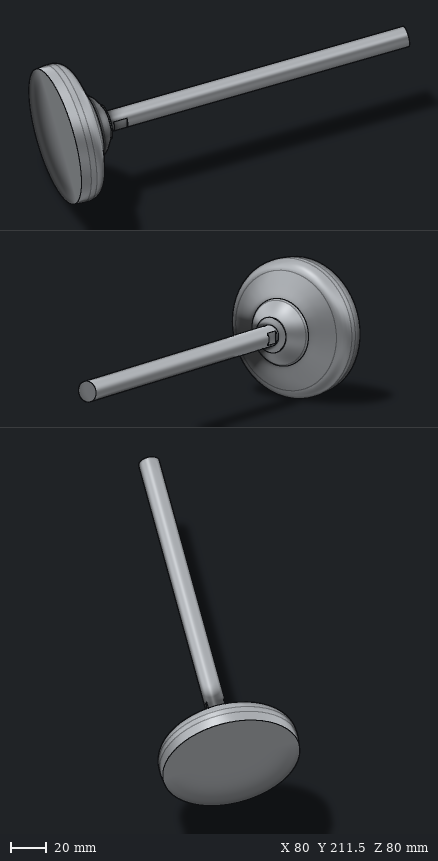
import cadquery as cq

overall_length = 211.5

base_radius = 40.0
bottom_radius = 39.3
draft_top = 5.7
rim_top = 9.0
shoulder_radius = 34.3
shoulder_height = 16.0
shoulder_mid_radius = 38.3
shoulder_mid_height = 13.5
dome_radius = 19.2
dome_height = 21.8
dome_band_radius = 18.5
dome_band_height = 23.0
dome_mid_radius = 14.5
dome_mid_height = 27.0
seat_radius = 9.5
seat_height = 30.0

rod_diameter = 12.0
rod_radius = rod_diameter / 2
collar_radius = 10.2
collar_edge_height = 30.7
collar_top = 32.0
flat_start = 33.5
flat_end = 41.5
flat_half_width = 4.9


def make_base():
    profile = (
        cq.Workplane("XY")
        .lineTo(bottom_radius, 0)
        .lineTo(base_radius, draft_top)
        .lineTo(base_radius, rim_top)
        .threePointArc((shoulder_mid_radius, shoulder_mid_height), (shoulder_radius, shoulder_height))
        .lineTo(dome_radius, dome_height)
        .lineTo(dome_band_radius, dome_band_height)
        .threePointArc((dome_mid_radius, dome_mid_height), (seat_radius, seat_height))
        .lineTo(0, seat_height)
        .close()
    )
    return profile.revolve(360, (0, 0, 0), (0, 1, 0))


def cut_wrench_flats(stem):
    flat_length = flat_end - flat_start
    for side in (-1, 1):
        cutter = cq.Workplane("XY").box(rod_radius, flat_length, 2 * rod_radius).translate(
            (side * (flat_half_width + rod_radius / 2), flat_start + flat_length / 2, 0)
        )
        stem = stem.cut(cutter)
    return stem


def make_stem():
    profile = (
        cq.Workplane("XY")
        .moveTo(0, seat_height)
        .lineTo(seat_radius, seat_height)
        .lineTo(collar_radius, collar_edge_height)
        .lineTo(rod_radius, collar_top)
        .lineTo(rod_radius, overall_length)
        .lineTo(0, overall_length)
        .close()
    )
    return cut_wrench_flats(profile.revolve(360, (0, 0, 0), (0, 1, 0)))


base = make_base()
stem = make_stem()

result = cq.Compound.makeCompound([base.val(), stem.val()])